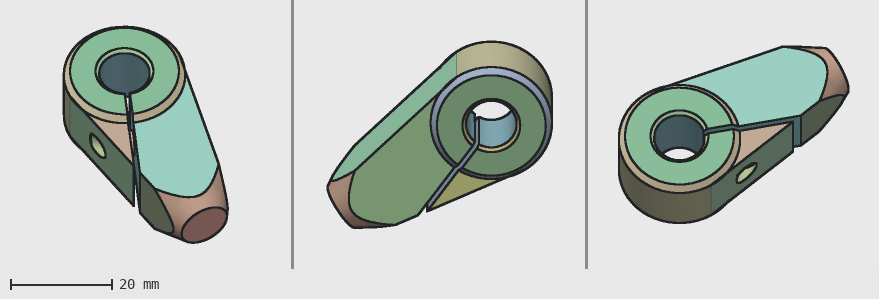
import cadquery as cq
import math

length = 48.0
hub_radius = 12.0
hub_height = 15.5
arm_taper = 10.0
tip_x = length - hub_radius

hub_chamfer = 1.25
arm_height = hub_height - 2 * hub_chamfer
bore_radius = 5.0
bore_chamfer = 0.7

tip_radius = 5.0
tip_half_angle = 30.0

slit_width = 1.0
slit_angle = -20.0
screw_radius = 2.5
screw_distance = 12.0
screw_face_depth = 4.3
screw_hole_depth = 7.65
drill_half_angle = 59.0


def make_arm():
    """Slab with a round hub end and flanks tapering from the hub's widest points."""
    tip_half_width = hub_radius - tip_x * math.tan(math.radians(arm_taper))
    return (
        cq.Workplane("XY")
        .moveTo(0, hub_radius)
        .lineTo(tip_x, tip_half_width)
        .lineTo(tip_x, -tip_half_width)
        .lineTo(0, -hub_radius)
        .threePointArc((-hub_radius, 0), (0, hub_radius))
        .close()
        .extrude(arm_height / 2, both=True)
    )


def make_hub_caps():
    """Pair of 45 degree conical caps, one on each face of the arm slab."""
    top_radius = hub_radius - hub_chamfer
    cap = (
        cq.Workplane("XY")
        .workplane(offset=arm_height / 2)
        .circle(hub_radius)
        .workplane(offset=hub_chamfer)
        .circle(top_radius)
        .loft(ruled=True)
    )
    return cap.union(cap.mirror("XY"))


def make_tip_envelope():
    """Cone about the arm axis that trims the corners of the tip."""
    base_x = -hub_radius
    base_radius = tip_radius + length * math.tan(math.radians(tip_half_angle))
    return (
        cq.Workplane("XY")
        .moveTo(base_x, 0)
        .lineTo(base_x, base_radius)
        .lineTo(tip_x, tip_radius)
        .lineTo(tip_x, 0)
        .close()
        .revolve(360, (0, 0, 0), (1, 0, 0))
    )


def make_bore():
    mouth_radius = bore_radius + bore_chamfer
    half_height = hub_height / 2
    return (
        cq.Workplane("XZ")
        .moveTo(0, -half_height)
        .lineTo(mouth_radius, -half_height)
        .lineTo(bore_radius, bore_chamfer - half_height)
        .lineTo(bore_radius, half_height - bore_chamfer)
        .lineTo(mouth_radius, half_height)
        .lineTo(0, half_height)
        .close()
        .revolve(360, (0, 0, 0), (0, 1, 0))
    )


def along_slit(shape):
    """Turn a shape modelled along +X into the direction of the slit."""
    return shape.rotate((0, 0, 0), (0, 0, 1), slit_angle)


def make_slit():
    slit = cq.Workplane("XY").box(length, slit_width, hub_height, centered=(False, True, True))
    return along_slit(slit)


def make_screw():
    """Screw shank crossing the slit and ending inside the clamping jaw."""
    far_side = slit_width / 2
    screw = (
        cq.Workplane("XZ", origin=(screw_distance, far_side, 0))
        .circle(screw_radius)
        .extrude(far_side + screw_face_depth)
    )
    return along_slit(screw)


def make_screw_hole():
    """Recess beyond the screw face, closing to a drill point that breaks through the flank."""
    point_depth = screw_hole_depth + screw_radius / math.tan(math.radians(drill_half_angle))
    hole = (
        cq.Workplane("XY")
        .moveTo(screw_distance, -screw_face_depth)
        .lineTo(screw_distance + screw_radius, -screw_face_depth)
        .lineTo(screw_distance + screw_radius, -screw_hole_depth)
        .lineTo(screw_distance, -point_depth)
        .close()
        .revolve(360, (screw_distance, 0, 0), (screw_distance, 1, 0))
    )
    return along_slit(hole)


body = make_arm().union(make_hub_caps()).intersect(make_tip_envelope())
body = body.cut(make_bore()).cut(make_slit()).cut(make_screw_hole())
result = body.union(make_screw())